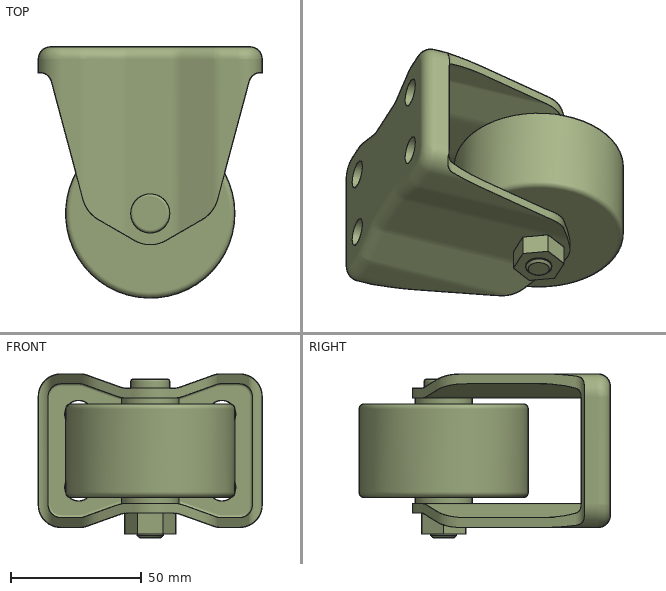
import cadquery as cq
import math


wheel_radius = 32.5
wheel_width = 36.0
wheel_edge_radius = 2.0
hub_radius = 11.0

sheet = 3.8
plate_y = 64.0
bracket_width = 86.0
bracket_height = 59.0
waist_height = 48.0
leg_gap = waist_height - 2 * sheet
corner_radius = 8.8
bend_radius = 8.0
inner_edge_radius = 1.0
plate_edge_radius = inner_edge_radius + sheet
shoulder_x = 25.6
waist_x = 10.25

rim_depth = 10.0
rim_notch_radius = 4.5
leg_half_width = 24.4
leg_taper = math.radians(15)
tip_slope = math.radians(30)
tip_radius = 12.0
tip_corner_y = -tip_radius / math.cos(tip_slope)
leg_shoulder_radius = 13.0

hole_diameter = 10.5
hole_spacing_x = 55.0
hole_spacing_z = 28.0

bolt_head_diameter = 15.0
bolt_head_height = 3.5
bolt_head_edge_radius = 1.0
bolt_diameter = 10.0
bolt_protrusion = 1.5
bolt_end_chamfer = 1.0
nut_across_flats = 17.0
nut_height = 8.0


def rounded_outline(plane, corners):
    """Closed outline through (x, y, radius) corners, each rounded by a tangent arc."""
    outline = None
    for i, (x, y, radius) in enumerate(corners):
        corner = cq.Vector(x, y)
        before = cq.Vector(*corners[i - 1][:2]) - corner
        after = cq.Vector(*corners[(i + 1) % len(corners)][:2]) - corner
        half_angle = before.getAngle(after) / 2
        setback = radius / math.tan(half_angle)
        start = corner + before.normalized() * setback
        end = corner + after.normalized() * setback
        to_centre = (before.normalized() + after.normalized()).normalized()
        middle = corner + to_centre * (radius / math.sin(half_angle) - radius)
        if outline is None:
            outline = plane.moveTo(start.x, start.y)
        else:
            outline = outline.lineTo(start.x, start.y)
        if radius > 0:
            outline = outline.threePointArc((middle.x, middle.y), (end.x, end.y))
    return outline.close()


def mirrored(half, middle=()):
    """The +X half of an outline, any corners on the mirror line, then the -X half."""
    return half + list(middle) + [(-x, y, radius) for x, y, radius in reversed(half)]


def make_tray():
    """Waisted tray of sheet metal, open toward -Y."""
    quarter = [
        (waist_x, waist_height / 2, bend_radius),
        (shoulder_x, bracket_height / 2, bend_radius),
        (bracket_width / 2, bracket_height / 2, corner_radius),
    ]
    half = quarter + [(x, -z, radius) for x, z, radius in reversed(quarter)]
    plane = cq.Workplane("XZ", origin=(0, plate_y, 0))
    block = rounded_outline(plane, mirrored(half)).extrude(plate_y - tip_corner_y)
    block = block.faces(">Y").edges().fillet(plate_edge_radius)
    return block.faces("<Y").shell(-sheet)


def make_leg_envelope():
    """Prism along the axle that trims the tray to its rim and two tapered legs."""
    rim_y = plate_y - rim_depth
    leg_shoulder_x = (leg_half_width + tip_corner_y * math.tan(leg_taper)) / (
        1 - math.tan(tip_slope) * math.tan(leg_taper)
    )
    leg_shoulder_y = tip_corner_y + leg_shoulder_x * math.tan(tip_slope)
    notch_x = leg_half_width + rim_y * math.tan(leg_taper)
    half = [
        (bracket_width / 2, plate_y, 0),
        (bracket_width / 2, rim_y, 0),
        (notch_x, rim_y, rim_notch_radius),
        (leg_shoulder_x, leg_shoulder_y, leg_shoulder_radius),
    ]
    tip = (0, tip_corner_y, tip_radius)
    outline = rounded_outline(cq.Workplane("XY"), mirrored(half, [tip]))
    return outline.extrude(bracket_height / 2, both=True)


def make_bracket():
    bracket = make_tray().intersect(make_leg_envelope())
    holes = (
        cq.Workplane("XZ", origin=(0, plate_y, 0))
        .rarray(hole_spacing_x, hole_spacing_z, 2, 2)
        .circle(hole_diameter / 2)
        .extrude(sheet)
    )
    return bracket.cut(holes)


def make_wheel():
    wheel = cq.Workplane("XY", origin=(0, 0, -wheel_width / 2)).circle(wheel_radius).extrude(wheel_width)
    wheel = wheel.edges().fillet(wheel_edge_radius)
    hub = cq.Workplane("XY", origin=(0, 0, -leg_gap / 2)).circle(hub_radius).extrude(leg_gap)
    return wheel.union(hub)


def make_bolt():
    """Bolt with its round head on the +Z leg and its nut on the -Z leg."""
    seat_z = waist_height / 2
    head_plane = cq.Workplane("XY", origin=(0, 0, seat_z))
    head = head_plane.circle(bolt_head_diameter / 2).extrude(bolt_head_height)
    head = head.faces(">Z").edges().fillet(bolt_head_edge_radius)
    shank_length = waist_height + nut_height + bolt_protrusion
    shank = head_plane.circle(bolt_diameter / 2).extrude(-shank_length)
    shank = shank.faces("<Z").edges().chamfer(bolt_end_chamfer)
    nut_across_corners = nut_across_flats / math.cos(math.pi / 6)
    nut_plane = cq.Workplane("XY", origin=(0, 0, -seat_z))
    nut = nut_plane.polygon(6, nut_across_corners).extrude(-nut_height)
    return head.union(shank).union(nut)


result = make_bracket().union(make_wheel()).union(make_bolt())